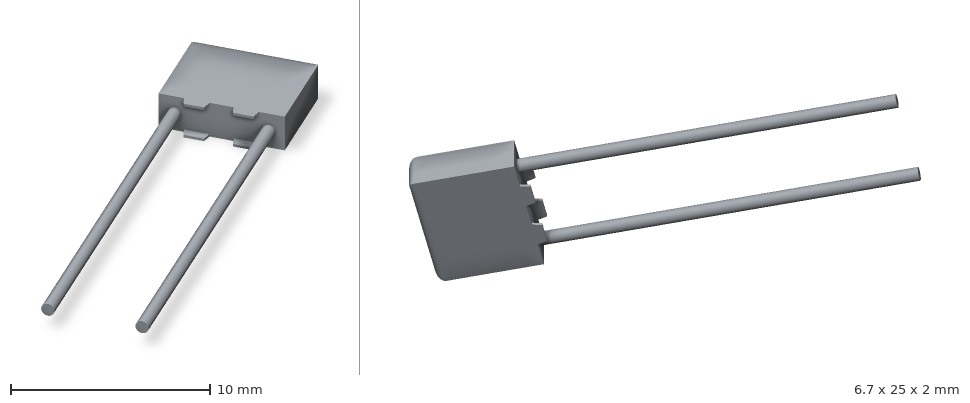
import cadquery as cq

total_length = 25.0
case_width = 6.7
case_depth = 5.5
case_height = 2.0
back_edge_radius = 0.5

tab_thickness = 0.15
tab_length = 0.5
tab_root_width = 1.35
tab_tip_width = 1.1
tab_spacing = 2.62

lead_diameter = 0.7
lead_spacing = 5.0

lead_length = total_length - case_depth
tab_centres_x = (-tab_spacing / 2, tab_spacing / 2)
tab_bottoms_z = (-case_height / 2, case_height / 2 - tab_thickness)
lead_centres_x = (-lead_spacing / 2, lead_spacing / 2)


def make_tab(centre_x, bottom_z):
    """Thin tapered standoff tab that projects from the lead face of the case."""
    return (
        cq.Workplane("XY", origin=(centre_x, 0, bottom_z))
        .moveTo(-tab_root_width / 2, 0)
        .lineTo(-tab_tip_width / 2, -tab_length)
        .lineTo(tab_tip_width / 2, -tab_length)
        .lineTo(tab_root_width / 2, 0)
        .close()
        .extrude(tab_thickness)
    )


def make_case():
    """Rectangular case with a rounded back and four tabs flush with its broad faces."""
    case = (
        cq.Workplane("XY")
        .box(case_width, case_depth, case_height, centered=(True, False, True))
        .faces(">Y")
        .edges()
        .fillet(back_edge_radius)
    )
    for centre_x in tab_centres_x:
        for bottom_z in tab_bottoms_z:
            case = case.union(make_tab(centre_x, bottom_z))
    return case


def make_lead(centre_x):
    """Straight round lead that starts at the lead face and runs toward -Y."""
    return (
        cq.Workplane("XZ", origin=(centre_x, 0, 0))
        .circle(lead_diameter / 2)
        .extrude(lead_length)
    )


case = make_case()
leads = [make_lead(centre_x) for centre_x in lead_centres_x]

result = cq.Compound.makeCompound([case.val(), *[lead.val() for lead in leads]])